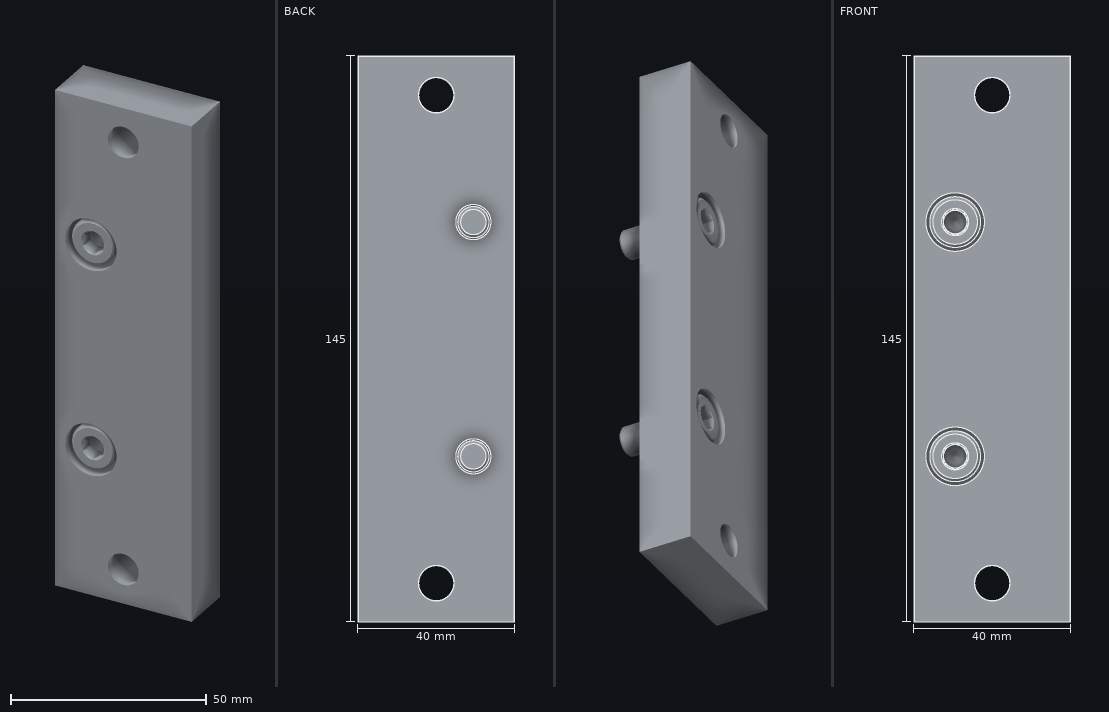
import cadquery as cq
import math

PLATE_WIDTH = 40
PLATE_THICKNESS = 15
PLATE_HEIGHT = 145

MOUNT_HOLE_DIAMETER = 9
MOUNT_HOLE_SPACING = 125

SCREW_SPACING = 60
SCREW_FROM_LEFT_EDGE = 10.5
SCREW_X = SCREW_FROM_LEFT_EDGE - PLATE_WIDTH / 2
SHANK_DIAMETER = 8
SHANK_PROTRUSION = 10
SHANK_TIP_CHAMFER = 0.75
HEAD_DIAMETER = 13
HEAD_HEIGHT = 8
HEAD_EDGE_CHAMFER = 0.8
HEAD_RECESS = 1
SOCKET_ACROSS_FLATS = 6
SOCKET_ACROSS_CORNERS = SOCKET_ACROSS_FLATS / math.cos(math.pi / 6)
SOCKET_TURN = 30
SOCKET_MOUTH_ANGLE = 90
SOCKET_DEPTH = 4
SOCKET_CONE_ANGLE = 120

COUNTERBORE_DIAMETER = 15
COUNTERBORE_DEPTH = HEAD_RECESS + HEAD_HEIGHT
CLEARANCE_DIAMETER = 9

SHANK_LENGTH = PLATE_THICKNESS + SHANK_PROTRUSION - COUNTERBORE_DEPTH


def paired_heights(spacing):
    """Z positions of two features placed evenly about the plate's middle."""
    return [-spacing / 2, spacing / 2]


def facing_back(x, y, z):
    """Workplane at a point whose extrusions run toward +Y."""
    return cq.Workplane(cq.Plane(origin=(x, y, z), xDir=(1, 0, 0), normal=(0, 1, 0)))


def rod(x, y, z, diameter, length):
    """Cylinder along +Y that starts at the given point."""
    return facing_back(x, y, z).circle(diameter / 2).extrude(length)


def make_plate():
    plate = cq.Workplane("XY").box(PLATE_WIDTH, PLATE_THICKNESS, PLATE_HEIGHT, centered=(True, False, True))
    for z in paired_heights(MOUNT_HOLE_SPACING):
        plate = plate.cut(rod(0, 0, z, MOUNT_HOLE_DIAMETER, PLATE_THICKNESS))
    for z in paired_heights(SCREW_SPACING):
        plate = plate.cut(rod(SCREW_X, 0, z, COUNTERBORE_DIAMETER, COUNTERBORE_DEPTH))
        plate = plate.cut(rod(SCREW_X, 0, z, CLEARANCE_DIAMETER, PLATE_THICKNESS))
    return plate


def cone_at(y, z, radius, included_angle):
    """Cone with its base at the given depth and its point toward +Y."""
    depth = radius / math.tan(math.radians(included_angle / 2))
    return cq.Workplane(cq.Solid.makeCone(radius, 0, depth, cq.Vector(SCREW_X, y, z), cq.Vector(0, 1, 0)))


def make_socket(z):
    """Cutting tool for a countersunk hexagonal socket, corners up and down, with a conical bottom."""
    hexagon = (
        facing_back(SCREW_X, HEAD_RECESS, z)
        .transformed(rotate=(0, 0, SOCKET_TURN))
        .polygon(6, SOCKET_ACROSS_CORNERS)
        .extrude(SOCKET_DEPTH)
    )
    countersink = cone_at(HEAD_RECESS, z, SOCKET_ACROSS_CORNERS / 2, SOCKET_MOUTH_ANGLE)
    bottom = cone_at(HEAD_RECESS + SOCKET_DEPTH, z, SOCKET_ACROSS_FLATS / 2, SOCKET_CONE_ANGLE)
    return hexagon.union(countersink).union(bottom)


def make_screw(z):
    head = rod(SCREW_X, HEAD_RECESS, z, HEAD_DIAMETER, HEAD_HEIGHT)
    head = head.faces("<Y").edges().chamfer(HEAD_EDGE_CHAMFER)
    shank = rod(SCREW_X, COUNTERBORE_DEPTH, z, SHANK_DIAMETER, SHANK_LENGTH)
    shank = shank.faces(">Y").edges().chamfer(SHANK_TIP_CHAMFER)
    return head.union(shank).cut(make_socket(z))


plate = make_plate()
screws = [make_screw(z) for z in paired_heights(SCREW_SPACING)]

result = cq.Compound.makeCompound([plate.val(), *[screw.val() for screw in screws]])